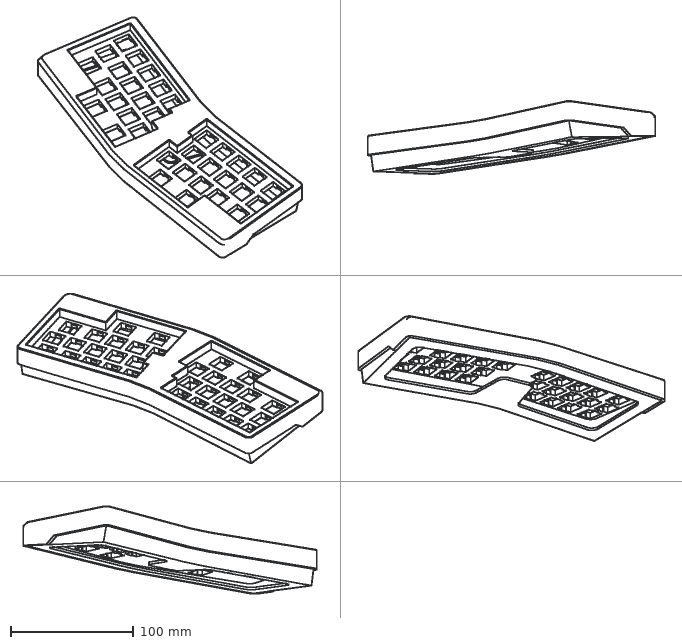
import cadquery as cq
import math


LEFT = -1
RIGHT = 1
ARMS = (LEFT, RIGHT)

splay_angle = math.radians(7)
arm_length = {LEFT: 120.4, RIGHT: 116.0}
arm_depth = 93.2
bridge_half_width = 10.2
corner_radius = 4.0
kink_radius = 20.3

deck_thickness = 8.0
plate_thickness = 5.0
rim_height = 16.0
front_height = 17.0
total_height = 29.2
slope = math.tan(math.radians(7))

wall_thickness = 3.0
front_chamfer_depth = 3.5
front_chamfer_height = 2.0
edge_chamfer = 0.63
skirt_front_y = 41.6
skirt_back_y = 49.8

key_pitch = 19.0
key_hole = 14.0
key_side_margin = 6.5
key_back_margin = 8.5
recess_clearance = 0.8
recess_chamfer = 0.5
clip_width = 5.0
clip_depth = 1.0
clip_lip = 1.5

key_rows = {
    LEFT: [[1, 1, 1, 1, 1], [1.25, 1, 1, 1, 1], [1.75, 1, 1, 1, 1], [1.25, 2]],
    RIGHT: [[1.25, 1, 1, 1, 1], [1, 1, 1, 1, 1], [1.5, 1, 1, 1, 1], [1.25, 2]],
}
row_indents = {LEFT: [0, 0, 0, 2.5], RIGHT: [0, 0, 0, 2.25]}

floor_thickness = 2.0
base_wall = 5.0
base_back_draft = math.tan(math.radians(13))
opening_side_inset = 14.5
opening_front_inset = 15.5
opening_back_inset = 18.0
opening_radius = 6.0
tongue_root_half_width = 21.5
tongue_tip_half_width = 15.5
tongue_tip_y = 43.0

plate_top_z = -deck_thickness
plate_bottom_z = plate_top_z - plate_thickness
case_middle_x = (arm_length[RIGHT] - arm_length[LEFT]) / 2 * math.cos(splay_angle)
beyond = 2 * arm_length[LEFT]


def arm_point(arm, u, v):
    """Plan position of the point (u, v) of one arm."""
    x = bridge_half_width + u * math.cos(splay_angle) - v * math.sin(splay_angle)
    y = u * math.sin(splay_angle) + v * math.cos(splay_angle)
    return (arm * x, y)


def kink_point(arm, v):
    """Where the arm's line of constant v turns into the straight bridge."""
    return (arm * bridge_half_width, v / math.cos(splay_angle))


def end_point(arm, side_inset, v):
    return arm_point(arm, arm_length[arm] - side_inset, v)


def outline(side, front, back):
    """Plan corners of the case, moved in by the given insets."""
    back_v = arm_depth - back
    return [
        kink_point(LEFT, front),
        kink_point(RIGHT, front),
        end_point(RIGHT, side, front),
        end_point(RIGHT, side, back_v),
        kink_point(RIGHT, back_v),
        kink_point(LEFT, back_v),
        end_point(LEFT, side, back_v),
        end_point(LEFT, side, front),
    ]


def prism(points, top_z, bottom_z):
    return cq.Workplane("XY").workplane(offset=bottom_z).polyline(points).close().extrude(top_z - bottom_z)


def flat_face(corners):
    return cq.Face.makeFromWires(cq.Wire.makePolygon([cq.Vector(*corner) for corner in corners], close=True))


def tapered_prism(top_points, top_z, bottom_points, bottom_z):
    """A solid between two outlines whose matching sides are parallel, with flat side faces."""
    top = [(x, y, top_z) for x, y in top_points]
    bottom = [(x, y, bottom_z) for x, y in bottom_points]
    faces = [flat_face(top), flat_face(bottom)]
    for i in range(len(top)):
        faces.append(flat_face([bottom[i - 1], bottom[i], top[i], top[i - 1]]))
    return cq.Workplane(cq.Solid.makeSolid(cq.Shell.makeShell(faces)))


def across(profile):
    """A block with the given (y, z) profile, wider than the case along X."""
    return cq.Workplane("YZ").polyline(profile).close().extrude(beyond, both=True)


def slope_z(y, height_at_front):
    return -height_at_front - slope * y


def above_slope(height_at_front):
    """The space below the deck top and above a plane parallel to the sloping underside."""
    return across([
        (-wall_thickness, 0),
        (-wall_thickness, slope_z(-wall_thickness, height_at_front)),
        (beyond, slope_z(beyond, height_at_front)),
        (beyond, 0),
    ])


def arm_box(arm, u_range, v_range, top_z, bottom_z):
    (u0, u1), (v0, v1) = u_range, v_range
    points = [arm_point(arm, u, v) for u, v in [(u0, v0), (u1, v0), (u1, v1), (u0, v1)]]
    return prism(points, top_z, bottom_z)


def row_middle_v(row):
    return arm_depth - key_back_margin - (row + 0.5) * key_pitch


def row_outer_u(arm, row):
    return arm_length[arm] - key_side_margin - row_indents[arm][row] * key_pitch


def key_centres(arm):
    centres = []
    for row, widths in enumerate(key_rows[arm]):
        outer_u = row_outer_u(arm, row)
        for width in widths:
            centres.append((outer_u - width * key_pitch / 2, row_middle_v(row)))
            outer_u -= width * key_pitch
    return centres


class UprightNear(cq.Selector):
    """Selects steep edges close to given plan points."""

    def __init__(self, points):
        self.points = points

    def filter(self, edges):
        return [edge for edge in edges if self.is_steep(edge) and self.is_near(edge)]

    def is_steep(self, edge):
        size = edge.BoundingBox()
        return size.zlen > edge_chamfer / 2

    def is_near(self, edge):
        centre = edge.Center()
        return any(math.hypot(centre.x - x, centre.y - y) < front_chamfer_depth for x, y in self.points)


def make_case_block():
    """The outer shape of the case, with its front bevel, rounded corners and top chamfer."""
    sharp = outline(0, 0, 0)
    deck = outline(0, front_chamfer_depth, 0)
    block = prism(sharp, -front_chamfer_height, -total_height)
    block = block.union(tapered_prism(deck, 0, sharp, -front_chamfer_height)).clean()

    back_ends = [end_point(arm, 0, arm_depth) for arm in ARMS]
    front_ends = [end_point(arm, 0, 0) for arm in ARMS]
    front_kinks = [kink_point(arm, 0) for arm in ARMS]
    block = block.edges(UprightNear(front_kinks)).fillet(kink_radius)
    block = block.edges(UprightNear(front_ends + back_ends)).fillet(corner_radius)

    chamfered = prism(outline(0, -front_chamfer_depth, 0), 0, -total_height)
    chamfered = chamfered.edges(UprightNear(back_ends)).fillet(corner_radius)
    return block.intersect(chamfered.faces(">Z").edges().chamfer(edge_chamfer))


def make_recess(arm):
    """The space cut from the deck around all the keys of one arm, flared at the top edge."""
    recess = None
    half_row = key_pitch / 2 + recess_clearance
    for row, widths in enumerate(key_rows[arm]):
        outer_u = row_outer_u(arm, row)
        u_range = (outer_u - sum(widths) * key_pitch - recess_clearance, outer_u + recess_clearance)
        middle_v = row_middle_v(row)
        v_range = (middle_v - half_row, middle_v + half_row)
        row_box = arm_box(arm, u_range, v_range, 0, plate_top_z)
        recess = row_box if recess is None else recess.union(row_box)
    recess = recess.clean()
    floor_face = recess.faces("<Z").val()
    rim = floor_face.outerWire().moved(cq.Location(cq.Vector(0, 0, deck_thickness - recess_chamfer)))
    flare = cq.Workplane(cq.Solid.extrudeLinear(rim, [], cq.Vector(0, 0, recess_chamfer), -45))
    return recess.union(flare)


def make_case():
    case = make_case_block()
    skirt_z = slope_z(skirt_front_y, front_height)
    case = case.intersect(across([
        (-wall_thickness, 0),
        (-wall_thickness, slope_z(-wall_thickness, front_height)),
        (skirt_front_y, skirt_z),
        (skirt_back_y, -rim_height),
        (beyond, -rim_height),
        (beyond, 0),
    ]))
    inset = wall_thickness
    case = case.cut(prism(outline(inset, inset, inset), plate_top_z, -total_height))
    for arm in ARMS:
        case = case.cut(make_recess(arm))
    return case


def make_plate():
    inset = wall_thickness
    plate = prism(outline(inset, inset, inset), plate_top_z, plate_bottom_z)
    half_hole = key_hole / 2
    for arm in ARMS:
        for u, v in key_centres(arm):
            hole = arm_box(arm, (u - half_hole, u + half_hole), (v - half_hole, v + half_hole),
                           plate_top_z, plate_bottom_z)
            half_clip = half_hole + clip_depth
            clip = arm_box(arm, (u - clip_width / 2, u + clip_width / 2), (v - half_clip, v + half_clip),
                           plate_top_z - clip_lip, plate_bottom_z)
            plate = plate.cut(hole.union(clip))
    return plate


def make_floor_opening():
    """The large opening in the floor, with a tongue left standing from the back."""
    back_v = arm_depth - opening_back_inset

    def tongue_root(arm):
        x = case_middle_x + arm * tongue_root_half_width
        kink_x, kink_y = kink_point(arm, back_v)
        return (x, kink_y + abs(x - kink_x) * math.tan(splay_angle))

    points = [
        kink_point(LEFT, opening_front_inset),
        kink_point(RIGHT, opening_front_inset),
        end_point(RIGHT, opening_side_inset, opening_front_inset),
        end_point(RIGHT, opening_side_inset, back_v),
        tongue_root(RIGHT),
        (case_middle_x + tongue_tip_half_width, tongue_tip_y),
        (case_middle_x - tongue_tip_half_width, tongue_tip_y),
        tongue_root(LEFT),
        end_point(LEFT, opening_side_inset, back_v),
        end_point(LEFT, opening_side_inset, opening_front_inset),
    ]
    return prism(points, plate_bottom_z, -2 * total_height).edges("|Z").fillet(opening_radius)


def make_base():
    inset = wall_thickness
    draft_inset = inset + (total_height - rim_height) * base_back_draft
    rim_outline = outline(inset, inset, inset)
    base = prism(rim_outline, plate_bottom_z, -rim_height)
    foot = tapered_prism(rim_outline, -rim_height, outline(inset, inset, draft_inset), -total_height)
    base = base.union(foot).intersect(above_slope(front_height))

    cavity_inset = wall_thickness + base_wall
    cavity = prism(outline(cavity_inset, cavity_inset, cavity_inset), plate_bottom_z, -total_height)
    cavity = cavity.edges("|Z").fillet(opening_radius).intersect(above_slope(front_height - floor_thickness))
    return base.cut(cavity).cut(make_floor_opening())


case = make_case()
plate = make_plate()
base = make_base()
result = cq.Compound.makeCompound([case.val(), plate.val(), base.val()])